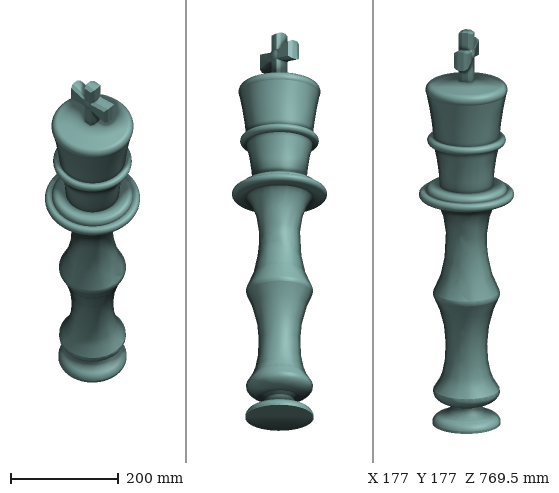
import cadquery as cq
import math

total_height = 769.5
base_band_top = 5.0
base_round_top = 15.5
neck_height = 37.0
bulb_bottom = 42.0
bulb_top = 68.0
knuckle_bottom = 250.0
knuckle_top = 259.0
collar_bottom = 442.0
collar_top = 457.0
shoulder_top = 468.0
ring_bottom = 549.0
ring_top = 563.0
crown_side_top = 649.0
crown_rim_top = 666.5
crown_apex = 674.0

base_radius = 127.0 / 2
base_round_radius = 54.0
neck_radius = 26.0
bulb_bottom_radius = 32.0
waist_radius = 39.0
swell_edge_radius = 61.5
collar_radius = 88.5
shoulder_bottom_radius = 75.5
shoulder_top_radius = 65.0
cup_bottom_radius = 50.0
cup_ring_radius = 61.5
ring_radius = 73.0
crown_radius = 75.0
crown_rim_radius = 66.0

foot_bulge = (61.0, 10.0)
foot_sweep = [(36.0, 24.0)]
bulb_curve = [(52.0, 48.0), (61.5, 58.5)]
lower_stem_curve = [(49.0, 88.5), (waist_radius, 135.5), (47.0, 213.0)]
upper_stem_curve = [(48.0, 292.5), (waist_radius, 338.5), (waist_radius, 385.0), (46.0, 415.5), (55.0, 433.0)]
knuckle_bulge = 1.0
shoulder_bulge = (72.0, 465.0)
cup_flare = (55.0, 515.5)
crown_flare = (66.0, 602.5)
crown_rim_bulge = (74.0, 662.0)

cross_center_height = 725.0
arm_reach = 45.5
arm_tip_half_height = 18.5
arm_root_half_height = 11.5
post_half_width = 11.0
post_bottom = 662.0
cross_core_half_depth = 5.8
cross_half_depth = 13.0
bevel_inset = 3.0
boss_radius = 10.0
boss_height = 2.0


def rounded_edge(profile, radius, bottom, top):
    """Run out to a half-round rim of the given outer radius and around it."""
    half = (top - bottom) / 2
    rim_center = radius - half
    return (
        profile.lineTo(rim_center, bottom)
        .threePointArc((radius, bottom + half), (rim_center, top))
    )


def make_body():
    """Revolve the whole turned outline about Z."""
    profile = cq.Workplane("XZ").lineTo(base_radius, 0).lineTo(base_radius, base_band_top)

    profile = (
        profile.threePointArc(foot_bulge, (base_round_radius, base_round_top))
        .spline(foot_sweep + [(neck_radius, neck_height)], includeCurrent=True)
    )

    profile = (
        profile.lineTo(bulb_bottom_radius, bulb_bottom)
        .spline(bulb_curve + [(swell_edge_radius, bulb_top)], includeCurrent=True)
    )

    profile = (
        profile.spline(
            lower_stem_curve + [(swell_edge_radius, knuckle_bottom)],
            includeCurrent=True,
        )
        .threePointArc(
            (swell_edge_radius + knuckle_bulge, (knuckle_bottom + knuckle_top) / 2),
            (swell_edge_radius, knuckle_top),
        )
        .spline(
            upper_stem_curve + [(swell_edge_radius, collar_bottom)],
            includeCurrent=True,
        )
    )

    profile = (
        rounded_edge(profile, collar_radius, collar_bottom, collar_top)
        .lineTo(shoulder_bottom_radius, collar_top)
        .threePointArc(shoulder_bulge, (shoulder_top_radius, shoulder_top))
        .lineTo(cup_bottom_radius, shoulder_top)
    )

    profile = profile.threePointArc(cup_flare, (cup_ring_radius, ring_bottom))
    profile = (
        rounded_edge(profile, ring_radius, ring_bottom, ring_top)
        .lineTo(cup_ring_radius, ring_top)
        .threePointArc(crown_flare, (crown_radius, crown_side_top))
    )

    profile = (
        profile.threePointArc(crown_rim_bulge, (crown_rim_radius, crown_rim_top))
        .lineTo(0, crown_apex)
        .close()
    )
    return profile.revolve(360, (0, 0, 0), (0, 1, 0))


def cross_outline(plane):
    """Cross outline: straight post with two arms widening to their tips."""
    arm_top = cross_center_height + arm_root_half_height
    arm_bottom = cross_center_height - arm_root_half_height
    tip_top = cross_center_height + arm_tip_half_height
    tip_bottom = cross_center_height - arm_tip_half_height
    right_half = [
        (post_half_width, post_bottom),
        (post_half_width, arm_bottom),
        (arm_reach, tip_bottom),
        (arm_reach, tip_top),
        (post_half_width, arm_top),
        (post_half_width, total_height),
    ]
    left_half = [(-x, z) for x, z in reversed(right_half)]
    return plane.polyline(right_half + left_half).close()


def make_cross():
    """Build half of the beveled cross with its domed boss, then mirror it in Y."""
    bevel_depth = cross_half_depth - cross_core_half_depth
    bevel_angle = math.degrees(math.atan(bevel_inset / bevel_depth))
    core = cross_outline(cq.Workplane("XZ")).extrude(cross_core_half_depth)
    bevel = cross_outline(
        cq.Workplane("XZ", origin=(0, -cross_core_half_depth, 0))
    ).extrude(bevel_depth, taper=bevel_angle)

    sphere_radius = (boss_radius**2 + boss_height**2) / (2 * boss_height)
    sphere_center = cross_half_depth + boss_height - sphere_radius
    boss_length = cross_half_depth + boss_height
    cap = cq.Workplane("XY").sphere(sphere_radius).translate((0, -sphere_center, cross_center_height))
    boss = (
        cq.Workplane("XZ", origin=(0, 0, cross_center_height))
        .circle(boss_radius)
        .extrude(boss_length)
        .intersect(cap)
    )

    half = core.union(bevel).union(boss)
    return half.union(half.mirror("XZ"))


result = make_body().union(make_cross())